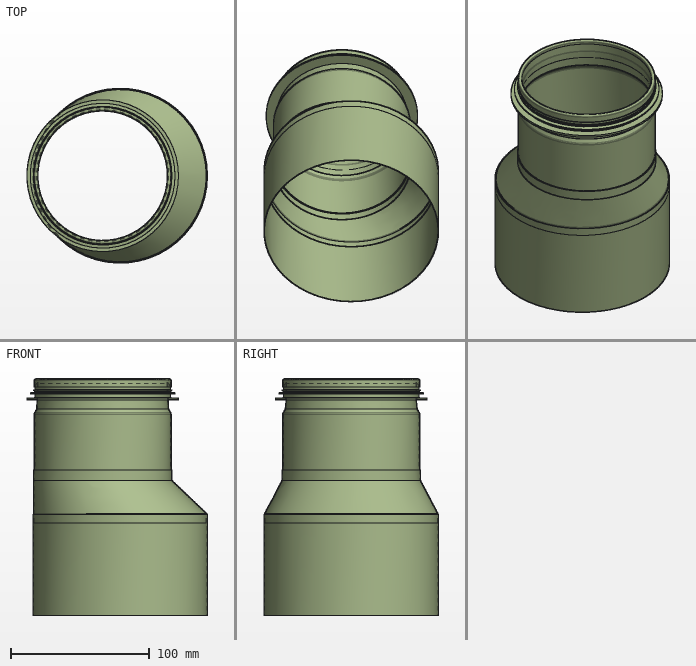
import cadquery as cq
import math


SHEET = 0.5
TOTAL_HEIGHT = 171.0

PIPE_OUTER_R = 126.25 / 2
PIPE_INNER_R = PIPE_OUTER_R - SHEET
PIPE_HEIGHT = 73.1

SKIRT_OUTER_R = PIPE_INNER_R
SKIRT_BOTTOM_Z = 67.0
CONE_BOTTOM_Z = 73.7
CONE_TOP_Z = 97.7

COLLAR_OUTER_R = 100.05 / 2
COLLAR_INNER_R = COLLAR_OUTER_R - SHEET
COLLAR_TOP_Z = 105.0
TUBE_AXIS_X = COLLAR_OUTER_R - SKIRT_OUTER_R

TUBE_OUTER_R = COLLAR_INNER_R
TUBE_INNER_R = TUBE_OUTER_R - SHEET
BEND_ANGLE = math.radians(30)
BEND_OUTER_R = 2.5
BEND_INNER_R = BEND_OUTER_R - SHEET
BEND_START_Z = 145.35
NECK_BASE_R = 95.45 / 2
NECK_TOP_R = 94.25 / 2
NECK_TOP_Z = 161.5

HEM_OUTER_R = TUBE_OUTER_R
HEM_INNER_R = NECK_TOP_R - SHEET
HEM_MIDDLE_R = (HEM_OUTER_R + HEM_INNER_R) / 2
HEM_ROLL_Z = TOTAL_HEIGHT - (HEM_OUTER_R - HEM_INNER_R) / 2
HEM_BOTTOM_Z = 165.0

SLEEVE_R = HEM_OUTER_R - SHEET
GASKET_BOTTOM_Z = 155.7
GASKET_TOP_Z = 167.6
GASKET_TIP_THICKNESS = 0.5
FLANGE_R = 109.45 / 2
FLANGE_TOP_Z = 157.15
FLANGE_ROOT = 0.4
LARGE_LIP_R = 104.45 / 2
LARGE_LIP_BOTTOM_Z = 160.1
LARGE_LIP_EDGE_Z = 160.85
LARGE_LIP_ROOT_Z = 161.2
LIP_ROOT = 0.4
SMALL_LIP_R = 100.05 / 2
SMALL_LIP_EDGE_Z = 162.9
SMALL_LIP_TOP_Z = 163.05


def turned(profile):
    """Revolve a closed radius-height profile around the tube axis."""
    solid = profile.close().revolve(360, (0, 0, 0), (0, 1, 0))
    return solid.translate((TUBE_AXIS_X, 0, 0))


def ring(axis_x, outer_r, inner_r, bottom_z, top_z):
    """Straight tube section."""
    base = cq.Workplane("XY", origin=(axis_x, 0, bottom_z))
    return base.circle(outer_r).circle(inner_r).extrude(top_z - bottom_z)


def oblique_cone(bottom_r, top_r):
    """Solid cone stump from the pipe axis up to the offset tube axis."""
    base = cq.Workplane("XY", origin=(0, 0, CONE_BOTTOM_Z)).circle(bottom_r)
    top = base.workplane(offset=CONE_TOP_Z - CONE_BOTTOM_Z).center(TUBE_AXIS_X, 0)
    return top.circle(top_r).loft(ruled=True)


def make_pipe():
    return ring(0, PIPE_OUTER_R, PIPE_INNER_R, 0, PIPE_HEIGHT)


def make_cone():
    skirt = ring(0, SKIRT_OUTER_R, SKIRT_OUTER_R - SHEET, SKIRT_BOTTOM_Z, CONE_BOTTOM_Z)
    outside = oblique_cone(SKIRT_OUTER_R, COLLAR_OUTER_R)
    inside = oblique_cone(SKIRT_OUTER_R - SHEET, COLLAR_INNER_R)
    return outside.cut(inside).union(skirt)


def make_collar():
    return ring(TUBE_AXIS_X, COLLAR_OUTER_R, COLLAR_INNER_R, CONE_TOP_Z, COLLAR_TOP_Z)


def bend_point(radius, angle):
    """Point on the bend at the top of the full-width tube, as (radius, height)."""
    center_r = TUBE_OUTER_R - BEND_OUTER_R
    return (center_r + radius * math.cos(angle), BEND_START_Z + radius * math.sin(angle))


def neck_base(bend_r, neck_r):
    """Point where the taper above the bend meets the neck, as (radius, height)."""
    taper_r, taper_z = bend_point(bend_r, BEND_ANGLE)
    return (neck_r, taper_z + (taper_r - neck_r) / math.tan(BEND_ANGLE))


def neck_outer_r(z):
    """Outer radius of the narrowing neck at height z."""
    base_r, base_z = neck_base(BEND_OUTER_R, NECK_BASE_R)
    return base_r + (NECK_TOP_R - base_r) * (z - base_z) / (NECK_TOP_Z - base_z)


def make_tube():
    profile = (
        cq.Workplane("XZ")
        .moveTo(TUBE_INNER_R, COLLAR_TOP_Z)
        .lineTo(TUBE_OUTER_R, COLLAR_TOP_Z)
        .lineTo(TUBE_OUTER_R, BEND_START_Z)
        .threePointArc(bend_point(BEND_OUTER_R, BEND_ANGLE / 2), bend_point(BEND_OUTER_R, BEND_ANGLE))
        .lineTo(*neck_base(BEND_OUTER_R, NECK_BASE_R))
        .lineTo(NECK_TOP_R, NECK_TOP_Z)
        .lineTo(NECK_TOP_R, HEM_ROLL_Z)
        .threePointArc((HEM_MIDDLE_R, TOTAL_HEIGHT - SHEET), (HEM_OUTER_R - SHEET, HEM_ROLL_Z))
        .lineTo(HEM_OUTER_R - SHEET, HEM_BOTTOM_Z)
        .lineTo(HEM_OUTER_R, HEM_BOTTOM_Z)
        .lineTo(HEM_OUTER_R, HEM_ROLL_Z)
        .threePointArc((HEM_MIDDLE_R, TOTAL_HEIGHT), (HEM_INNER_R, HEM_ROLL_Z))
        .lineTo(HEM_INNER_R, NECK_TOP_Z)
        .lineTo(*neck_base(BEND_INNER_R, NECK_BASE_R - SHEET))
        .lineTo(*bend_point(BEND_INNER_R, BEND_ANGLE))
        .threePointArc(bend_point(BEND_INNER_R, BEND_ANGLE / 2), (TUBE_INNER_R, BEND_START_Z))
    )
    return turned(profile)


def make_gasket():
    profile = (
        cq.Workplane("XZ")
        .moveTo(neck_outer_r(GASKET_BOTTOM_Z), GASKET_BOTTOM_Z)
        .lineTo(FLANGE_R, GASKET_BOTTOM_Z)
        .lineTo(FLANGE_R, FLANGE_TOP_Z)
        .lineTo(SLEEVE_R + FLANGE_ROOT, FLANGE_TOP_Z)
        .lineTo(SLEEVE_R, FLANGE_TOP_Z + FLANGE_ROOT)
        .lineTo(SLEEVE_R, LARGE_LIP_BOTTOM_Z)
        .lineTo(LARGE_LIP_R, LARGE_LIP_BOTTOM_Z)
        .lineTo(LARGE_LIP_R, LARGE_LIP_EDGE_Z)
        .lineTo(SLEEVE_R + LIP_ROOT, LARGE_LIP_ROOT_Z)
        .lineTo(SLEEVE_R, LARGE_LIP_ROOT_Z + LIP_ROOT)
        .lineTo(SMALL_LIP_R, SMALL_LIP_EDGE_Z)
        .lineTo(SLEEVE_R, SMALL_LIP_TOP_Z)
        .lineTo(SLEEVE_R, HEM_BOTTOM_Z)
        .lineTo(NECK_TOP_R + GASKET_TIP_THICKNESS, GASKET_TOP_Z)
        .lineTo(NECK_TOP_R, GASKET_TOP_Z)
        .lineTo(NECK_TOP_R, NECK_TOP_Z)
    )
    return turned(profile)


pipe = make_pipe()
cone = make_cone()
collar = make_collar()
tube = make_tube()
gasket = make_gasket()

result = cq.Compound.makeCompound(
    [pipe.val(), cone.val(), collar.val(), tube.val(), gasket.val()]
)